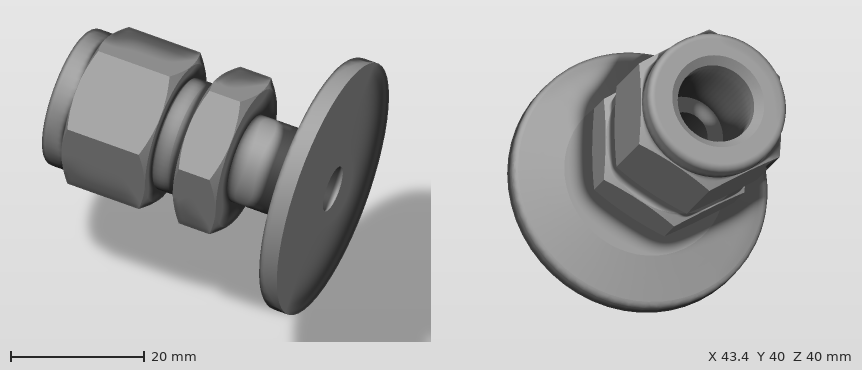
import cadquery as cq
import math

AXIS_START = (0, 0, 0)
AXIS_END = (1, 0, 0)

across_flats = 22.0
corner_radius = across_flats / math.sqrt(3)
hex_chamfer_radius = 10.95
hex_chamfer_angle = 30
envelope_margin = 1.3

collar_radius = 10.85
collar_length = 3.6
collar_round = 1.0
nut_end = 17.45
tube_bore_radius = 6.0
mouth_radius = 7.2
mouth_depth = mouth_radius - tube_bore_radius

neck_radius = 8.85
neck_lead_in = 0.3
neck_cone_start = 20.2
neck_cone_angle = 30

body_hex_start = 22.0
body_hex_end = 29.1
stem_radius = 6.9
flange_start = 38.35
flange_end = 43.4
flange_radius = 20.0
flange_face_radius = 12.6
flange_cone_angle = 15
flange_round = 1.0
through_bore_radius = 3.55


def revolve_about_axis(points):
    """Revolve a closed (x, radius) outline about the fitting's axis."""
    return cq.Workplane("XY").polyline(points).close().revolve(360, AXIS_START, AXIS_END)


def cylinder(start, end, radius):
    return cq.Workplane("YZ").workplane(offset=start).circle(radius).extrude(end - start)


def chamfered_hexagon(start, end):
    """Hexagonal prism with corners up and down, and both ends turned to a cone."""
    prism = (
        cq.Workplane("YZ")
        .workplane(offset=start)
        .transformed(rotate=(0, 0, 90))
        .polygon(6, 2 * corner_radius)
        .extrude(end - start)
    )
    envelope_radius = corner_radius + envelope_margin
    cone_length = (envelope_radius - hex_chamfer_radius) * math.tan(math.radians(hex_chamfer_angle))
    envelope = revolve_about_axis([
        (start, 0),
        (start, hex_chamfer_radius),
        (start + cone_length, envelope_radius),
        (end - cone_length, envelope_radius),
        (end, hex_chamfer_radius),
        (end, 0),
    ])
    return prism.intersect(envelope)


def make_nut():
    collar = cylinder(0, collar_length, collar_radius).faces("<X").edges().fillet(collar_round)
    bore = revolve_about_axis([
        (0, 0),
        (0, mouth_radius),
        (mouth_depth, tube_bore_radius),
        (nut_end, tube_bore_radius),
        (nut_end, 0),
    ])
    return collar.union(chamfered_hexagon(collar_length, nut_end)).cut(bore)


def make_neck():
    cone_drop = (body_hex_start - neck_cone_start) * math.tan(math.radians(neck_cone_angle))
    return revolve_about_axis([
        (nut_end, 0),
        (nut_end, neck_radius - neck_lead_in),
        (nut_end + neck_lead_in, neck_radius),
        (neck_cone_start, neck_radius),
        (body_hex_start, neck_radius - cone_drop),
        (body_hex_start, 0),
    ])


def make_flange():
    """Clamp flange with a conical front and a rounded rim."""
    cone_length = (flange_radius - flange_face_radius) * math.tan(math.radians(flange_cone_angle))
    rim_start = flange_start + cone_length
    flange = revolve_about_axis([
        (flange_start, 0),
        (flange_start, flange_face_radius),
        (rim_start, flange_radius),
        (flange_end, flange_radius),
        (flange_end, 0),
    ])
    rim_edge = cq.selectors.NearestToPointSelector((rim_start, 0, 0))
    return flange.edges("%CIRCLE").edges(rim_edge).fillet(flange_round)


def make_body():
    stem = cylinder(body_hex_end, flange_start, stem_radius)
    through_bore = cylinder(nut_end, flange_end, through_bore_radius)
    return (
        make_neck()
        .union(chamfered_hexagon(body_hex_start, body_hex_end))
        .union(stem)
        .union(make_flange())
        .cut(through_bore)
    )


nut = make_nut()
body = make_body()

result = cq.Compound.makeCompound([nut.val(), body.val()])